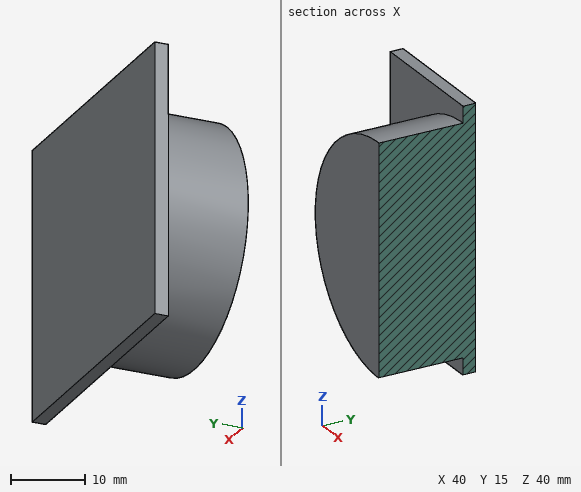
import cadquery as cq

plate_side = 40.0
plate_thickness = 2.0
boss_diameter = 35.0
overall_depth = 15.0

boss_length = overall_depth - plate_thickness


def make_plate():
    """Square plate in the XZ plane, with its front face at Y = 0."""
    return cq.Workplane("XZ").rect(plate_side, plate_side).extrude(-plate_thickness)


def make_boss():
    """Round boss centred on the plate, standing out from its front face toward -Y."""
    return cq.Workplane("XZ").circle(boss_diameter / 2).extrude(boss_length)


result = make_plate().union(make_boss())